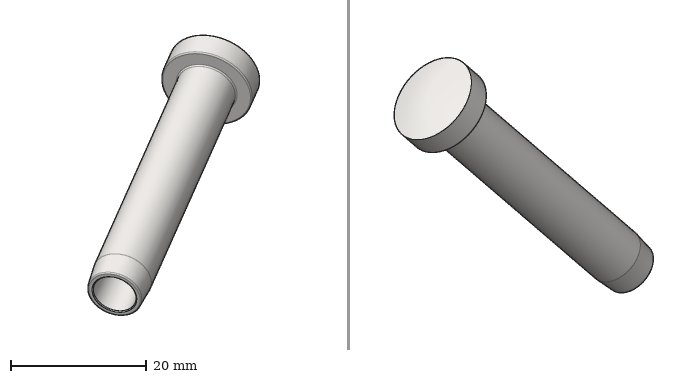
import cadquery as cq
import math

total_length = 52.0
head_diameter = 14.0
dome_height = 1.0
head_length = 5.0
shank_diameter = 9.0

tip_length = 4.0
tip_end_diameter = 8.3

bore_diameter = 6.6
bore_depth = 12.0
drill_point_angle = 118.0
bore_chamfer = 0.15

edge_radius = 0.2

tip_y = -total_length / 2
tip_start_y = tip_y + tip_length
crown_y = total_length / 2
rim_y = crown_y - dome_height
head_underside_y = crown_y - head_length

head_radius = head_diameter / 2
shank_radius = shank_diameter / 2
tip_end_radius = tip_end_diameter / 2
bore_radius = bore_diameter / 2


def revolve_about_y(profile):
    return profile.close().revolve(360, (0, 0, 0), (0, 1, 0))


def round_circle(body, radius, y):
    """Round the circular edge that has the given radius and lies at y."""
    tolerance = 0.005
    edges = [
        edge
        for edge in body.edges("%CIRCLE").vals()
        if abs(edge.radius() - radius) < tolerance and abs(edge.Center().y - y) < tolerance
    ]
    return body.newObject(edges).fillet(edge_radius)


def make_pin():
    dome_radius = (head_radius**2 + dome_height**2) / (2 * dome_height)
    dome_mid_x = head_radius / 2
    dome_mid_y = crown_y - dome_radius + math.sqrt(dome_radius**2 - dome_mid_x**2)
    body = revolve_about_y(
        cq.Workplane("XY")
        .moveTo(0, crown_y)
        .threePointArc((dome_mid_x, dome_mid_y), (head_radius, rim_y))
        .lineTo(head_radius, head_underside_y)
        .lineTo(shank_radius, head_underside_y)
        .lineTo(shank_radius, tip_start_y)
        .lineTo(tip_end_radius, tip_y)
        .lineTo(0, tip_y)
    )
    for radius, y in (
        (head_radius, head_underside_y),
        (shank_radius, head_underside_y),
        (tip_end_radius, tip_y),
    ):
        body = round_circle(body, radius, y)
    return body


def make_bore():
    straight_end_y = tip_y + bore_depth
    point_height = bore_radius / math.tan(math.radians(drill_point_angle / 2))
    return revolve_about_y(
        cq.Workplane("XY")
        .moveTo(0, tip_y)
        .lineTo(bore_radius + bore_chamfer, tip_y)
        .lineTo(bore_radius, tip_y + bore_chamfer)
        .lineTo(bore_radius, straight_end_y)
        .lineTo(0, straight_end_y + point_height)
    )


result = make_pin().cut(make_bore())